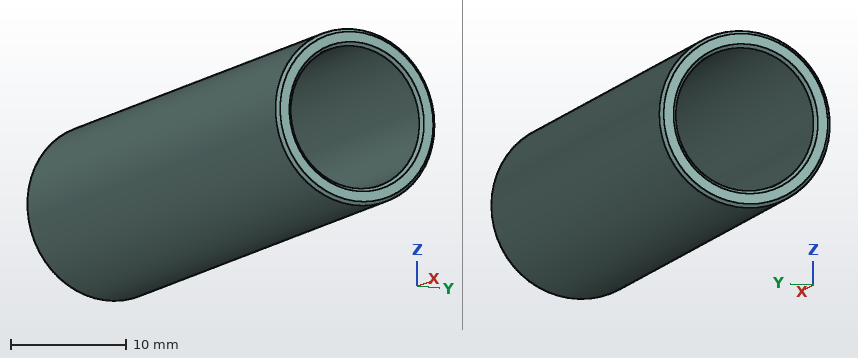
import cadquery as cq

length = 46.9
outer_diameter = 15.6
bore_diameter = 12.6

edge_chamfer = 0.3

outer_radius = outer_diameter / 2
bore_radius = bore_diameter / 2
half_length = length / 2

wall_section = (
    cq.Workplane("XY")
    .moveTo(-half_length, bore_radius + edge_chamfer)
    .lineTo(-half_length, outer_radius - edge_chamfer)
    .lineTo(-half_length + edge_chamfer, outer_radius)
    .lineTo(half_length - edge_chamfer, outer_radius)
    .lineTo(half_length, outer_radius - edge_chamfer)
    .lineTo(half_length, bore_radius + edge_chamfer)
    .lineTo(half_length - edge_chamfer, bore_radius)
    .lineTo(-half_length + edge_chamfer, bore_radius)
    .close()
)

result = wall_section.revolve(360, (0, 0, 0), (1, 0, 0))